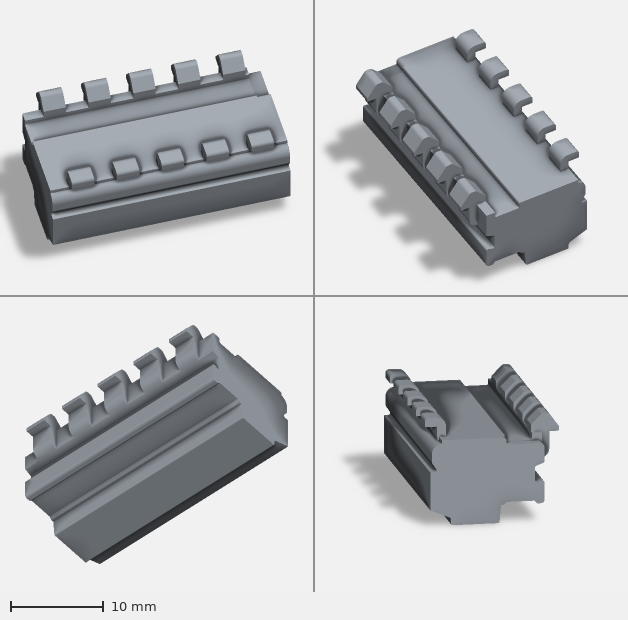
import cadquery as cq
import math

length = 26.5
body_width = 12.5
body_top = 9.45
end_wall_thickness = 1.5

channel_left = 1.09
channel_right = 4.08
channel_floor = 8.75
channel_corner_radius = 0.15

slope_start_z = 6.5
slope_end_z = 6.12
notch_depth = 1.0
notch_floor_z = 4.27
notch_top_radius = 0.13
notch_floor_radius = 0.2
lip_top_z = 4.55
lip_edge_radius = 0.2
lip_bottom_z = 2.0
lip_bottom_radius = 0.37
lip_right = 0.8

recess_left = 1.09
recess_right = 4.1
recess_depth = 0.32
recess_ramp = 0.32

foot_left_top = 4.75
foot_left_bottom = 4.93
foot_right = 10.23
foot_edge_radius = 0.15
foot_right_top_z = 0.8
foot_top_radius = 0.26
ramp_top_z = 1.75

ledge_z = 5.94
undercut_x = 11.6
undercut_radius = 0.2
bulge_right = 12.32
bulge_top_z = 9.04
bulge_top_radius = 1.05
bulge_bottom_z = 6.97
bulge_bottom_radius = 0.53

end_top_right = 11.24
top_right = 11.42

end_floor_z = 8.67
end_step_x = 4.13
end_step_radius = 0.45
end_corner_radius = 0.5
end_slope_radius = 0.25

clip_count = 5
clip_width = 2.5
clip_pitch = 5.0
clip_end_margin = 1.9
clip_top = 11.5

barb_left = -2.0
barb_edge_height = 0.48
barb_right = channel_left
barb_right_height = 0.82
crown_left = -0.85
crown_left_radius = 0.53
crown_right = -0.13
crown_right_radius = 0.45
stem_left = -0.9
stem_bend_radius = 1.09

arm_left = 10.41
arm_tip = 12.72
arm_underside_z = 10.52
arm_bend_radius = 0.95
arm_tip_top_radius = 0.35
arm_tip_bottom_radius = 0.08


def toward(start, target, distance):
    """Point at a given distance from start, in the direction of target."""
    span = math.dist(start, target)
    return tuple(s + (t - s) * distance / span for s, t in zip(start, target))


def corner_arc(before, corner, after, radius):
    """Start, middle and end of the arc that rounds a corner."""
    angle_before = math.atan2(before[1] - corner[1], before[0] - corner[0])
    angle_after = math.atan2(after[1] - corner[1], after[0] - corner[0])
    half_angle = math.acos(math.cos(angle_before - angle_after)) / 2
    tangent_length = radius / math.tan(half_angle)
    start = toward(corner, before, tangent_length)
    end = toward(corner, after, tangent_length)
    chord_middle = tuple((s + e) / 2 for s, e in zip(start, end))
    middle = toward(corner, chord_middle, radius / math.sin(half_angle) - radius)
    return start, middle, end


def rounded_prism(corners, y_start, thickness):
    """Prism along +Y from (x, z, radius) corners; radius 0 leaves a corner sharp."""
    outline = cq.Workplane("XZ")
    points = [(x, z) for x, z, _ in corners]
    for index, (x, z, radius) in enumerate(corners):
        following = points[(index + 1) % len(points)]
        if radius > 0:
            start, middle, end = corner_arc(points[index - 1], (x, z), following, radius)
        else:
            start = (x, z)
        outline = outline.moveTo(*start) if index == 0 else outline.lineTo(*start)
        if radius > 0:
            outline = outline.threePointArc(middle, end)
    return outline.close().extrude(-thickness).translate((0, y_start, 0))


def shared_corners(slope_radius):
    """Corners from the sloped underside, round the bottom, up to the top right edge."""
    recess_z = lip_bottom_z + recess_depth
    return [
        (0, slope_start_z, slope_radius),
        (notch_depth, slope_end_z, notch_top_radius),
        (notch_depth, notch_floor_z, notch_floor_radius),
        (0, lip_top_z, lip_edge_radius),
        (0, lip_bottom_z, lip_bottom_radius),
        (lip_right, lip_bottom_z, 0),
        (recess_left, recess_z, 0),
        (recess_right, recess_z, 0),
        (recess_right + recess_ramp, lip_bottom_z, 0),
        (foot_left_top, lip_bottom_z, 0),
        (foot_left_bottom, 0, foot_edge_radius),
        (foot_right, 0, foot_edge_radius),
        (foot_right, foot_right_top_z, foot_top_radius),
        (body_width, ramp_top_z, 0),
        (body_width, ledge_z, 0),
        (undercut_x, ledge_z, undercut_radius),
        (bulge_right, bulge_bottom_z, bulge_bottom_radius),
        (bulge_right, bulge_top_z, bulge_top_radius),
        (end_top_right, bulge_top_z, 0),
        (end_top_right, body_top, 0),
    ]


def main_body():
    corners = shared_corners(slope_radius=0) + [
        (channel_right, body_top, channel_corner_radius),
        (channel_right, channel_floor, 0),
        (channel_left, channel_floor, channel_corner_radius),
        (channel_left, body_top, 0),
        (0, body_top, 0),
    ]
    return rounded_prism(corners, 0, length - end_wall_thickness)


def top_edge_strip():
    """Square edge above the bulge, sunk into its rounded top."""
    corners = [
        (end_top_right, bulge_bottom_z, 0),
        (top_right, bulge_bottom_z, 0),
        (top_right, body_top, 0),
        (end_top_right, body_top, 0),
    ]
    return rounded_prism(corners, 0, length - end_wall_thickness)


def end_wall():
    corners = shared_corners(end_slope_radius) + [
        (end_step_x, body_top, end_step_radius),
        (end_step_x, end_floor_z, 0),
        (0, end_floor_z, end_corner_radius),
    ]
    return rounded_prism(corners, length - end_wall_thickness, end_wall_thickness)


def barb_head(y_start):
    corners = [
        (barb_left, body_top, 0),
        (barb_left, body_top + barb_edge_height, 0),
        (crown_left, clip_top, crown_left_radius),
        (crown_right, clip_top, crown_right_radius),
        (barb_right, body_top + barb_right_height, 0),
        (barb_right, body_top, 0),
    ]
    return rounded_prism(corners, y_start, clip_width)


def barb_stem(y_start):
    slope = (slope_end_z - slope_start_z) / notch_depth
    corners = [
        (0, slope_start_z, 0),
        (0, body_top, 0),
        (stem_left, body_top, 0),
        (stem_left, slope_start_z + slope * stem_left, stem_bend_radius),
    ]
    return rounded_prism(corners, y_start, clip_width)


def bent_arm(y_start):
    corners = [
        (top_right, body_top, 0),
        (top_right, arm_underside_z, 0),
        (arm_tip, arm_underside_z, arm_tip_bottom_radius),
        (arm_tip, clip_top, arm_tip_top_radius),
        (arm_left, clip_top, arm_bend_radius),
        (arm_left, body_top, 0),
    ]
    return rounded_prism(corners, y_start, clip_width)


result = main_body().union(top_edge_strip()).union(end_wall()).clean()
for clip in range(clip_count):
    clip_start = length - clip_end_margin - clip_width - clip * clip_pitch
    for make_piece in (barb_stem, barb_head, bent_arm):
        result = result.union(make_piece(clip_start))